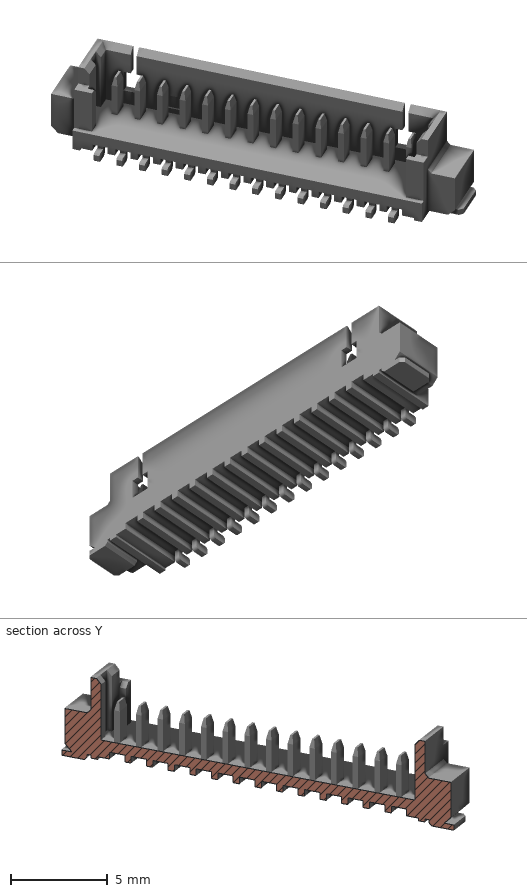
import cadquery as cq


PIN_COUNT = 14
PITCH = 1.25
PIN_WIDTH = 0.32
PIN_BACK_Y = -0.68
PIN_DEPTH = 0.87
PIN_SHOULDER_Z = 3.08
PIN_TIP_Z = 3.55
PIN_TIP_WIDTH = 0.12
PIN_TIP_DEPTH = 0.62
TAIL_HEIGHT = 0.5
TAIL_FRONT_Y = -4.2
TAIL_BACK_Y = -3.4
TAIL_STEM_DEPTH = 0.25
TAIL_HEEL = 0.2
TAIL_CHAMFER = 0.09

BODY_LENGTH = 19.3
BODY_TOP_Z = 4.7
BASE_FRONT_Y = -3.7
BASE_BOTTOM_Z = 0.3
BASE_TOP_Z = 1.3
CORNER_FOOT_WIDTH = 0.42
CORNER_FOOT_Z = 0.15
NOTCH_WIDTH = 0.85
NOTCH_TOP_Z = 0.68

BACK_WALL = 0.4
SIDE_WALL = 0.62
SIDE_WALL_FRONT_Y = -2.83
RIM_DROP = 0.3
RIM_LAND_BACK = 0.1
RIM_LAND_SIDE = 0.34
GROOVE_BACK_Y = -1.15
GROOVE_FRONT_Y = -1.9

COLUMN_WIDTH = 0.98
COLUMN_FRONT_Y = -3.43
COLUMN_TOP_Z = 3.68
COLUMN_CHAMFER = 0.27

SLOT_WIDTH = 0.33
WINDOW_WIDTH = 1.1
WINDOW_BOTTOM_Z = 2.1
WINDOW_TOP_Z = 3.25
SLOT_X = PITCH * (PIN_COUNT / 2 - 1)

RECESS_LENGTH = 1.25
RECESS_HEIGHT = 0.77
RECESS_BOTTOM_Z = 1.6
RECESS_DEPTH = 0.1
RECESS_X = -5.22

OVERALL_LENGTH = 22.65
WING_REACH = 11.15
WING_BOTTOM_Z = 0.32
WING_TOP_Z = 2.68
WING_CHAMFER = 0.38
WING_SLOPE = 0.2
TAB_OUTER_X = OVERALL_LENGTH / 2
TAB_INNER_X = 9.85
TAB_DEPTH = 2.2
TAB_CORNER = 0.2
TAB_INNER_BEVEL = 0.17

HALF_LENGTH = BODY_LENGTH / 2


def block(x_range, y_range, z_range):
    """Axis-aligned box between pairs of coordinates given in any order."""
    (x0, x1), (y0, y1), (z0, z1) = sorted(x_range), sorted(y_range), sorted(z_range)
    return cq.Workplane("XY").box(x1 - x0, y1 - y0, z1 - z0, centered=False).translate((x0, y0, z0))


def centered_block(x, width, y_range, z_range):
    """Axis-aligned box centered on x."""
    return block((x - width / 2, x + width / 2), y_range, z_range)


def extrude_back(points, y_front):
    """Extrude an XZ outline from y_front back to the rear face at y = 0."""
    return cq.Workplane("XZ").polyline(points).close().extrude(-y_front)


def both_ends(right_end):
    """Join a feature of the +X end with its mirror image at the -X end."""
    return right_end.union(right_end.mirror("YZ"))


def make_base():
    base = block((-HALF_LENGTH, HALF_LENGTH), (BASE_FRONT_Y, 0), (BASE_BOTTOM_Z, BASE_TOP_Z))
    foot = block(
        (HALF_LENGTH - CORNER_FOOT_WIDTH, HALF_LENGTH), (BASE_FRONT_Y, 0), (CORNER_FOOT_Z, BASE_TOP_Z)
    )
    return base.union(both_ends(foot))


def make_walls():
    """Back and side walls with a bevelled inner rim, locating grooves and front columns."""
    outer = block(
        (-HALF_LENGTH, HALF_LENGTH), (SIDE_WALL_FRONT_Y, 0), (BASE_TOP_Z, BODY_TOP_Z)
    )
    inner_x = HALF_LENGTH - SIDE_WALL
    cavity = block((-inner_x, inner_x), (SIDE_WALL_FRONT_Y, -BACK_WALL), (BASE_TOP_Z, BODY_TOP_Z))
    walls = outer.cut(cavity)

    rim_x = HALF_LENGTH - RIM_LAND_SIDE
    rim_z = BODY_TOP_Z - RIM_DROP
    bevel_front_y = 2 * SIDE_WALL_FRONT_Y
    rim_bevel = (
        cq.Workplane("XY")
        .workplane(offset=rim_z)
        .center(0, (bevel_front_y - BACK_WALL) / 2)
        .rect(2 * inner_x, -bevel_front_y - BACK_WALL)
        .workplane(offset=RIM_DROP)
        .center(0, (BACK_WALL - RIM_LAND_BACK) / 2)
        .rect(2 * rim_x, -bevel_front_y - RIM_LAND_BACK)
        .loft(ruled=True)
    )
    groove = block((0, rim_x), (GROOVE_FRONT_Y, GROOVE_BACK_Y), (BASE_TOP_Z, BODY_TOP_Z))
    walls = walls.cut(rim_bevel).cut(both_ends(groove))
    return walls.union(both_ends(make_column()))


def make_column():
    """Lower column closing the front of the +X side wall."""
    column_x = HALF_LENGTH - COLUMN_WIDTH
    column = block(
        (column_x, HALF_LENGTH), (COLUMN_FRONT_Y, SIDE_WALL_FRONT_Y), (BASE_TOP_Z, COLUMN_TOP_Z)
    )
    lip = block(
        (column_x, HALF_LENGTH - SIDE_WALL), (COLUMN_FRONT_Y, SIDE_WALL_FRONT_Y), (BASE_TOP_Z, COLUMN_TOP_Z)
    )
    bevelled_lip = lip.faces(">Y").edges(">Z").chamfer(COLUMN_CHAMFER)
    return column.cut(lip).union(bevelled_lip)


def make_wing():
    """End block on the +X side, bevelled below and blended into the wall by a small slope."""
    outline = [
        (HALF_LENGTH - RIM_LAND_SIDE, WING_BOTTOM_Z),
        (WING_REACH - WING_CHAMFER, WING_BOTTOM_Z),
        (WING_REACH, WING_BOTTOM_Z + WING_CHAMFER),
        (WING_REACH, WING_TOP_Z),
        (HALF_LENGTH + WING_SLOPE, WING_TOP_Z),
        (HALF_LENGTH, WING_TOP_Z + WING_SLOPE),
        (HALF_LENGTH - RIM_LAND_SIDE, WING_TOP_Z + WING_SLOPE),
    ]
    return extrude_back(outline, SIDE_WALL_FRONT_Y)


def make_solder_tab():
    """Flat tab under the +X end block."""
    outline = [
        (TAB_INNER_X + TAB_INNER_BEVEL, 0),
        (TAB_OUTER_X, 0),
        (TAB_OUTER_X, WING_BOTTOM_Z),
        (TAB_INNER_X, WING_BOTTOM_Z),
        (TAB_INNER_X, TAB_INNER_BEVEL),
    ]
    return extrude_back(outline, -TAB_DEPTH).edges("|Z and >X").chamfer(TAB_CORNER)


def make_pin(x):
    """Upright contact with a tapered tip, and its bent solder tail."""
    post = centered_block(x, PIN_WIDTH, (PIN_BACK_Y - PIN_DEPTH, PIN_BACK_Y), (NOTCH_TOP_Z, PIN_SHOULDER_Z))
    tip = (
        cq.Workplane("XY")
        .workplane(offset=PIN_SHOULDER_Z)
        .center(x, PIN_BACK_Y - PIN_DEPTH / 2)
        .rect(PIN_WIDTH, PIN_DEPTH)
        .workplane(offset=PIN_TIP_Z - PIN_SHOULDER_Z)
        .rect(PIN_TIP_WIDTH, PIN_TIP_DEPTH)
        .loft(ruled=True)
    )
    stem_front_y = TAIL_BACK_Y - TAIL_STEM_DEPTH
    tail = (
        cq.Workplane("YZ")
        .moveTo(TAIL_BACK_Y, BASE_TOP_Z)
        .lineTo(TAIL_BACK_Y, TAIL_HEEL)
        .radiusArc((TAIL_BACK_Y - TAIL_HEEL, 0), TAIL_HEEL)
        .lineTo(TAIL_FRONT_Y + TAIL_CHAMFER, 0)
        .lineTo(TAIL_FRONT_Y, TAIL_CHAMFER)
        .lineTo(TAIL_FRONT_Y, TAIL_HEIGHT - TAIL_CHAMFER)
        .lineTo(TAIL_FRONT_Y + TAIL_CHAMFER, TAIL_HEIGHT)
        .lineTo(stem_front_y, TAIL_HEIGHT)
        .lineTo(stem_front_y, BASE_TOP_Z)
        .close()
        .extrude(PIN_WIDTH / 2, both=True)
        .translate((x, 0, 0))
    )
    return post.union(tip).union(tail)


def make_wall_openings():
    """Keyhole slots of the back wall and the shallow recess on its inner face."""
    slot = centered_block(SLOT_X, SLOT_WIDTH, (-BACK_WALL, 0), (WINDOW_BOTTOM_Z, BODY_TOP_Z))
    window = centered_block(SLOT_X, WINDOW_WIDTH, (-BACK_WALL, 0), (WINDOW_BOTTOM_Z, WINDOW_TOP_Z))
    recess = centered_block(
        RECESS_X,
        RECESS_LENGTH,
        (-BACK_WALL, RECESS_DEPTH - BACK_WALL),
        (RECESS_BOTTOM_Z, RECESS_BOTTOM_Z + RECESS_HEIGHT),
    )
    return both_ends(slot.union(window)).union(recess)


housing = make_base().union(make_walls()).union(both_ends(make_wing()))
housing = housing.cut(make_wall_openings())

pin_positions = [(i - (PIN_COUNT - 1) / 2) * PITCH for i in range(PIN_COUNT)]
for pin_x in pin_positions:
    housing = housing.cut(
        centered_block(pin_x, NOTCH_WIDTH, (BASE_FRONT_Y, 0), (BASE_BOTTOM_Z, NOTCH_TOP_Z))
    )

result = housing.union(both_ends(make_solder_tab()))
for pin_x in pin_positions:
    result = result.union(make_pin(pin_x))